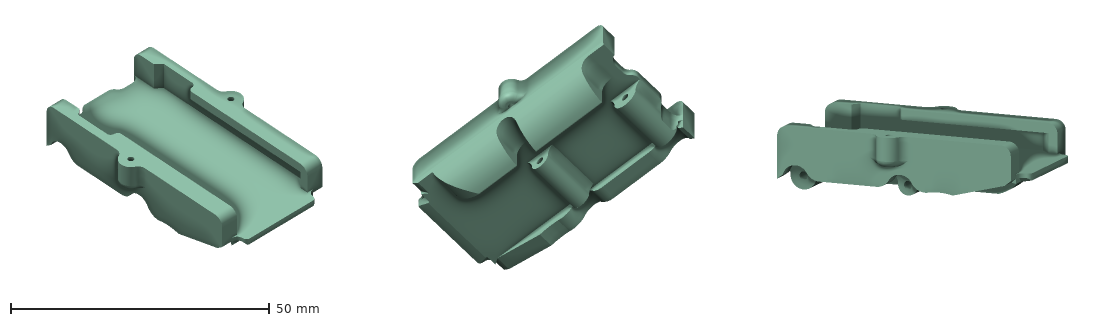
import cadquery as cq
import math

length = 51.8
height = 14.25
wall_length = 49.25
outer_y = 13.35

floor_bottom = 6.3
floor_top = 8.25
floor_half_width = 10.0

lip_y = 9.4
entry_y = 9.95
pocket_y = 11.4
lip_thickness = 2.0
lip_curve = (pocket_y - lip_y) / 2
entry_length = 5.6
pocket_start = 6.85
lip_start = 14.8
pocket_end = 47.35
top_corner_radius = 2.0
end_chamfer_x = 47.95
end_chamfer_top = 7.35

hinge_z = 3.85
front_hinge_x = 3.9
front_barrel_radius = 2.75
rear_hinge_x = 25.9
rear_barrel_radius = 2.05
pin_diameter = 1.65
barrel_y_min = -9.5
barrel_y_max = 2.55
web_flare = front_hinge_x - front_barrel_radius

hinge_arch_radius = 2.8
arch_corner_radius = 3.0
wall_tip_z = 3.7
arch_start_angle = 165.0
arch_right = (29.55, 4.0)
wave_middle = (32.3, 3.75)
wave_high = (33.75, 3.85)
wave_end = (37.05, 3.45)

skirt_y = 6.4
skirt_clearance = floor_bottom - hinge_z
skirt_round_radius = 8.8
skirt_side_center = (4.65, 8.6)
skirt_end_center = (35.7, 8.45)

notch_depth = 1.5
notch_far_y = 8.05
notch_near_y = 5.9
notch_middle_y = 4.45
notch_end_y = 3.0

tongue_corner_radius = 1.0
tongue_flare_radius = 1.5
tongue_slope_start = 49.6
tongue_tip_bottom = 6.85
tongue_chamfer = 1.0

boss_x = 23.6
boss_radius = 2.55
boss_blend_radius = 1.8
boss_edge_radius = 1.3
boss_hole_diameter = 1.35
rim_margin = 0.05

quarter_arc_inset = 1 - math.sqrt(0.5)


def polar(center, radius, angle):
    """Point on a circle, with the angle in radians."""
    return (center[0] + radius * math.cos(angle), center[1] + radius * math.sin(angle))


def tangent_arc_middle(rise, run):
    """Rise and run to the middle of an arc that leaves along the run and ends at (rise, run)."""
    radius = (rise**2 + run**2) / (2 * rise)
    half_angle = math.asin(run / radius) / 2
    return (radius * (1 - math.cos(half_angle)), radius * math.sin(half_angle))


def arc_to(sketch, center, radius, start, end):
    """Continue a sketch along a circle from its start angle to its end angle."""
    return sketch.threePointArc(polar(center, radius, (start + end) / 2), polar(center, radius, end))


def extrude_y(sketch, y_min, y_max):
    """Extrude an XZ sketch, which grows toward -Y, so that it fills y_min to y_max."""
    return sketch.extrude(y_max - y_min).translate((0, y_max, 0))


def prism_z(sketch, z_min, z_max):
    return sketch.extrude(z_max - z_min).translate((0, 0, z_min))


def mirrored_pair(solid):
    return solid.union(solid.mirror("XZ"))


def close_over_wall_top(sketch):
    """Finish a wall outline from its lower right end, over the rounded top, to its start."""
    r = top_corner_radius
    mid = r * quarter_arc_inset
    return (
        sketch.lineTo(end_chamfer_x, floor_bottom)
        .lineTo(wall_length, end_chamfer_top)
        .lineTo(wall_length, height - r)
        .threePointArc((wall_length - mid, height - mid), (wall_length - r, height))
        .lineTo(r, height)
        .threePointArc((mid, height - mid), (0, height - r))
        .close()
    )


def floor():
    """Flat floor with a flared tongue that is thinned and chamfered underneath."""
    corner_mid = tongue_corner_radius * quarter_arc_inset
    flare_mid = tongue_flare_radius * quarter_arc_inset
    flare_end = length - tongue_corner_radius
    flare_start = flare_end - tongue_flare_radius
    outline = (
        cq.Workplane("XY")
        .lineTo(0, floor_half_width)
        .lineTo(end_chamfer_x, floor_half_width)
        .lineTo(flare_start, lip_y + tongue_flare_radius)
        .threePointArc((flare_start + flare_mid, lip_y + flare_mid), (flare_end, lip_y))
        .threePointArc((length - corner_mid, lip_y - corner_mid), (length, lip_y - tongue_corner_radius))
        .lineTo(length, 0)
        .close()
    )
    plate = mirrored_pair(prism_z(outline, floor_bottom, floor_top))
    slope = (
        cq.Workplane("XZ")
        .moveTo(tongue_slope_start, floor_bottom)
        .lineTo(length, tongue_tip_bottom)
        .lineTo(length, floor_bottom)
        .close()
    )
    side_chamfer = (
        cq.Workplane("YZ", origin=(wall_length, 0, 0))
        .moveTo(lip_y - tongue_chamfer, floor_bottom)
        .lineTo(lip_y, floor_bottom + tongue_chamfer)
        .lineTo(outer_y, floor_bottom + tongue_chamfer)
        .lineTo(outer_y, floor_bottom)
        .close()
        .extrude(length - wall_length)
    )
    return plate.cut(extrude_y(slope, -outer_y, outer_y)).cut(mirrored_pair(side_chamfer))


def scalloped_wall():
    """-Y wall, with arches over both hinges and a wavy, rising lower edge."""
    reach = hinge_arch_radius + arch_corner_radius
    corner_z = hinge_z + arch_corner_radius
    corner_offset = math.sqrt(reach**2 - arch_corner_radius**2)
    touch = math.asin(arch_corner_radius / reach)
    front = (front_hinge_x, hinge_z)
    rear = (rear_hinge_x, hinge_z)
    after_front = (front_hinge_x + corner_offset, corner_z)
    before_rear = (rear_hinge_x - corner_offset, corner_z)
    bottom = -math.pi / 2

    front_start = math.radians(arch_start_angle)
    front_start_point = polar(front, hinge_arch_radius, front_start)
    outline = cq.Workplane("XZ").moveTo(0, wall_tip_z).lineTo(*front_start_point)
    outline = arc_to(outline, front, hinge_arch_radius, front_start, touch)
    outline = arc_to(outline, after_front, arch_corner_radius, touch - math.pi, bottom)
    outline = outline.lineTo(before_rear[0], hinge_z)
    outline = arc_to(outline, before_rear, arch_corner_radius, bottom, -touch)
    outline = arc_to(outline, rear, hinge_arch_radius, math.pi - touch, touch)
    outline = outline.threePointArc(arch_right, wave_middle).threePointArc(wave_high, wave_end)
    wall = extrude_y(close_over_wall_top(outline), -outer_y, -lip_y)
    below_floor = cq.Workplane("XY").box(
        wall_length, floor_half_width - lip_y, floor_bottom, centered=False
    )
    return wall.cut(below_floor.translate((0, -floor_half_width, 0)))


def skirted_wall():
    """+Y wall and the rounded skirt that hangs below it, clear of both hinges."""
    end_stop = -math.asin((skirt_end_center[1] - floor_bottom) / skirt_round_radius)
    end_start = -math.asin(skirt_end_center[1] / skirt_round_radius)
    outline = (
        cq.Workplane("XZ")
        .moveTo(0, floor_bottom)
        .lineTo(front_hinge_x, floor_bottom)
        .lineTo(front_hinge_x, 0)
        .lineTo(*polar(skirt_end_center, skirt_round_radius, end_start))
    )
    outline = arc_to(outline, skirt_end_center, skirt_round_radius, end_start, end_stop)
    body = extrude_y(close_over_wall_top(outline), skirt_y, outer_y)

    side_start = -math.asin(skirt_side_center[1] / skirt_round_radius)
    side_stop = -math.acos((outer_y - skirt_side_center[0]) / skirt_round_radius)
    section = (
        cq.Workplane("YZ")
        .moveTo(skirt_y, 0)
        .lineTo(*polar(skirt_side_center, skirt_round_radius, side_start))
    )
    section = (
        arc_to(section, skirt_side_center, skirt_round_radius, side_start, side_stop)
        .lineTo(outer_y, height)
        .lineTo(lip_y, height)
        .lineTo(lip_y, floor_bottom)
        .lineTo(skirt_y, floor_bottom)
        .close()
        .extrude(wall_length)
    )
    body = body.intersect(section)
    for hinge_x in (front_hinge_x, rear_hinge_x):
        clearance = cq.Workplane("XZ").center(hinge_x, hinge_z).circle(skirt_clearance)
        body = body.cut(extrude_y(clearance, skirt_y, outer_y))
        slot = cq.Workplane("XZ").center(hinge_x, hinge_z / 2).rect(2 * skirt_clearance, hinge_z)
        body = body.cut(extrude_y(slot, skirt_y, outer_y))
    return body


def inner_channel():
    """Space between the walls: the open channel plus the pockets under both lips."""
    bend = lip_curve * quarter_arc_inset
    lip_front = lip_start + lip_curve
    lip_full = lip_front + lip_curve
    channel = (
        cq.Workplane("XY")
        .lineTo(0, entry_y)
        .lineTo(entry_length, entry_y)
        .lineTo(pocket_start, pocket_y)
        .lineTo(lip_start, pocket_y)
        .threePointArc((lip_front - bend, pocket_y - bend), (lip_front, pocket_y - lip_curve))
        .threePointArc((lip_front + bend, lip_y + bend), (lip_full, lip_y))
        .lineTo(wall_length, lip_y)
        .lineTo(wall_length, 0)
        .close()
    )
    pocket = (
        cq.Workplane("XY")
        .moveTo(pocket_start, 0)
        .lineTo(pocket_start, pocket_y)
        .lineTo(pocket_end - (pocket_y - lip_y), pocket_y)
        .lineTo(pocket_end, lip_y)
        .lineTo(pocket_end, 0)
        .close()
    )
    space = prism_z(channel, floor_top, height).union(prism_z(pocket, floor_top, height - lip_thickness))
    return mirrored_pair(space)


def hinge_barrel(hinge_x, radius):
    """Barrel hung from the floor by a web that flares into the floor on both sides."""
    barrel = cq.Workplane("XZ").center(hinge_x, hinge_z).circle(radius)
    web_height = floor_bottom - hinge_z
    rise, run = tangent_arc_middle(web_flare, web_height)
    mid_x = radius + rise
    mid_z = hinge_z + run
    web = (
        cq.Workplane("XZ", origin=(hinge_x, 0, 0))
        .moveTo(-radius, hinge_z)
        .threePointArc((-mid_x, mid_z), (-radius - web_flare, floor_bottom))
        .lineTo(radius + web_flare, floor_bottom)
        .threePointArc((mid_x, mid_z), (radius, hinge_z))
        .close()
    )
    return extrude_y(barrel, barrel_y_min, barrel_y_max).union(extrude_y(web, barrel_y_min, barrel_y_max))


def pin_hole(hinge_x):
    hole = cq.Workplane("XZ").center(hinge_x, hinge_z).circle(pin_diameter / 2)
    return extrude_y(hole, barrel_y_min, barrel_y_max)


def edge_notches():
    """Smooth notches in the left edge, cut down through the front hinge barrel."""
    near_x = notch_depth / 2
    rise, run = tangent_arc_middle(near_x, notch_near_y - notch_middle_y)
    far_rise, far_run = tangent_arc_middle(notch_depth, floor_half_width - notch_far_y)
    outline = (
        cq.Workplane("XY")
        .moveTo(0, notch_end_y)
        .threePointArc((rise, notch_end_y + run), (near_x, notch_middle_y))
        .threePointArc((notch_depth - rise, notch_near_y - run), (notch_depth, notch_near_y))
        .lineTo(notch_depth, notch_far_y)
        .threePointArc((notch_depth - far_rise, notch_far_y + far_run), (0, floor_half_width))
        .close()
    )
    return mirrored_pair(prism_z(outline, 0, floor_top))


def boss():
    """Half-round screw boss on the +Y wall, blended into the wall and rounded below."""
    reach = boss_radius + boss_blend_radius
    half_width = math.sqrt(reach**2 - boss_blend_radius**2)
    touch = math.asin(boss_blend_radius / reach)
    left_blend = (boss_x - half_width, outer_y + boss_blend_radius)
    right_blend = (boss_x + half_width, outer_y + boss_blend_radius)
    base_half_width = half_width + boss_edge_radius
    outline = (
        cq.Workplane("XY")
        .moveTo(boss_x - base_half_width, pocket_y)
        .lineTo(boss_x - base_half_width, outer_y)
        .lineTo(boss_x - half_width, outer_y)
    )
    outline = arc_to(outline, left_blend, boss_blend_radius, -math.pi / 2, -touch)
    outline = arc_to(outline, (boss_x, outer_y), boss_radius, math.pi - touch, touch)
    outline = arc_to(outline, right_blend, boss_blend_radius, touch - math.pi, -math.pi / 2)
    outline = (
        outline.lineTo(boss_x + base_half_width, outer_y)
        .lineTo(boss_x + base_half_width, pocket_y)
        .close()
    )
    blank = prism_z(outline, floor_top, height)
    side_reach = base_half_width + rim_margin
    rim_box = cq.selectors.BoxSelector(
        (boss_x - side_reach, outer_y - rim_margin, floor_top - rim_margin),
        (boss_x + side_reach, outer_y + reach, floor_top + rim_margin),
        boundingbox=True,
    )
    return blank.edges(rim_box).fillet(boss_edge_radius)


def boss_hole():
    hole = cq.Workplane("XY").center(boss_x, outer_y).circle(boss_hole_diameter / 2)
    return prism_z(hole, floor_top, height)


result = scalloped_wall().union(skirted_wall()).union(mirrored_pair(boss()))
result = result.cut(inner_channel()).union(floor())
for hinge_x, radius in ((front_hinge_x, front_barrel_radius), (rear_hinge_x, rear_barrel_radius)):
    result = result.union(hinge_barrel(hinge_x, radius)).cut(pin_hole(hinge_x))
result = result.cut(edge_notches())
result = result.cut(mirrored_pair(boss_hole()))